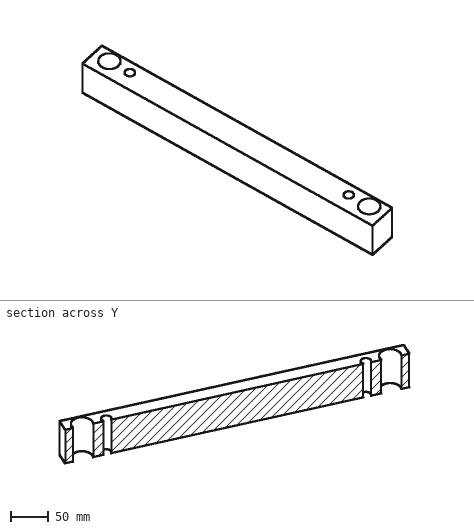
import cadquery as cq

length = 496.0
width = 43.0
height = 56.0

large_hole_diameter = 30.0
small_hole_diameter = 14.0
large_hole_end_distance = 26.0
hole_pitch = 35.0
hole_line_back_distance = 17.0

hole_line_y = width / 2 - hole_line_back_distance
large_hole_x = length / 2 - large_hole_end_distance
small_hole_x = large_hole_x - hole_pitch


def make_bar():
    return cq.Workplane("XY").box(length, width, height, centered=(True, True, False))


def drill_hole_pair(body, diameter, distance_from_middle):
    """Drill two through holes at equal distances either side of the middle."""
    centres = [(side * distance_from_middle, hole_line_y) for side in (-1, 1)]
    drills = cq.Workplane("XY").pushPoints(centres).circle(diameter / 2).extrude(height)
    return body.cut(drills)


bar = make_bar()
bar = drill_hole_pair(bar, large_hole_diameter, large_hole_x)
result = drill_hole_pair(bar, small_hole_diameter, small_hole_x)